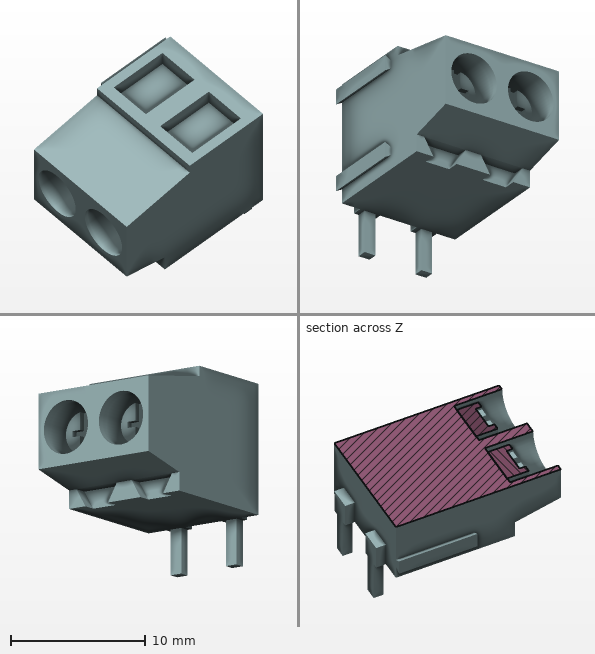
import cadquery as cq


POLE_COUNT = 2
POLE_PITCH = 5.1
HOUSING_WIDTH = POLE_COUNT * POLE_PITCH
HOUSING_HEIGHT = 10.02
OVERALL_DEPTH = 14.6
PIN_THICKNESS = 0.8
HOUSING_DEPTH = OVERALL_DEPTH - PIN_THICKNESS

NOSE_BOTTOM = 2.3
NOSE_TOP = HOUSING_HEIGHT - 1.93
FOOT_SETBACK = 3.85
FOOT_HEIGHT = 1.42
ROOF_SETBACK = 6.38
ROOF_STEP = 0.8

BORE_DIAMETER = 4.09
BORE_DEPTH = 4.0
BORE_HEIGHT = (NOSE_BOTTOM + NOSE_TOP) / 2

POCKET_WIDTH = 3.52
POCKET_LENGTH = 4.92
POCKET_DEPTH = 1.27
POCKET_TO_BACK = 1.52

RECESS_TOP_WIDTH = 3.72
RECESS_BOTTOM_WIDTH = 2.09
RECESS_DEPTH = 1.0

RAIL_PROJECTION = 0.53
RAIL_OUTER_HEIGHT = 1.27
RAIL_ROOT_HEIGHT = 0.65
RAIL_LENGTH = 6.54
LOWER_RAIL_HEIGHT = 1.5
RAIL_SPACING = 7.31

SCREW_DIAMETER = 3.24
SCREW_SETBACK = 2.2
SCREW_LENGTH = BORE_DEPTH - SCREW_SETBACK
SLOT_DEPTH = 0.5
LONG_SLOT_WIDTH = 0.61
SHORT_SLOT_WIDTH = 0.47
SHORT_SLOT_LENGTH = 2.07

PIN_HEAD_WIDTH = 1.8
PIN_HEAD_HEIGHT = 2.0
PIN_LEG_WIDTH = 0.98
PIN_LEG_LENGTH = 3.49

POLE_POSITIONS = [(i - (POLE_COUNT - 1) / 2) * POLE_PITCH for i in range(POLE_COUNT)]


def block(x_size, y_size, z_size, x_centre, y_front, z_bottom):
    """Box centred across X, reaching back and up from its front lower edge."""
    return (
        cq.Workplane("XY", origin=(x_centre, y_front, z_bottom))
        .box(x_size, y_size, z_size, centered=(True, False, False))
    )


def rod(diameter, length, x_centre, y_front):
    """Cylinder on a bore axis, reaching back from y_front."""
    return (
        cq.Workplane("XZ", origin=(x_centre, y_front, BORE_HEIGHT))
        .circle(diameter / 2)
        .extrude(-length)
    )


def housing_shell():
    profile = [
        (0, NOSE_BOTTOM),
        (FOOT_SETBACK, FOOT_HEIGHT),
        (FOOT_SETBACK, 0),
        (HOUSING_DEPTH, 0),
        (HOUSING_DEPTH, HOUSING_HEIGHT),
        (ROOF_SETBACK, HOUSING_HEIGHT),
        (ROOF_SETBACK, HOUSING_HEIGHT - ROOF_STEP),
        (0, NOSE_TOP),
    ]
    return cq.Workplane("YZ").polyline(profile).close().extrude(HOUSING_WIDTH / 2, both=True)


def dovetail_rail(z_centre):
    root_x = -HOUSING_WIDTH / 2
    outer_x = root_x - RAIL_PROJECTION
    profile = [
        (root_x, -RAIL_ROOT_HEIGHT / 2),
        (root_x, RAIL_ROOT_HEIGHT / 2),
        (outer_x, RAIL_OUTER_HEIGHT / 2),
        (outer_x, -RAIL_OUTER_HEIGHT / 2),
    ]
    return (
        cq.Workplane("XZ", origin=(0, HOUSING_DEPTH, z_centre))
        .polyline(profile)
        .close()
        .extrude(RAIL_LENGTH)
    )


def roof_pocket(x_centre):
    y_front = HOUSING_DEPTH - POCKET_TO_BACK - POCKET_LENGTH
    z_floor = HOUSING_HEIGHT - POCKET_DEPTH
    return block(POCKET_WIDTH, POCKET_LENGTH, POCKET_DEPTH, x_centre, y_front, z_floor)


def foot_recess(x_centre):
    profile = [
        (-RECESS_BOTTOM_WIDTH / 2, 0),
        (RECESS_BOTTOM_WIDTH / 2, 0),
        (RECESS_TOP_WIDTH / 2, FOOT_HEIGHT),
        (-RECESS_TOP_WIDTH / 2, FOOT_HEIGHT),
    ]
    return (
        cq.Workplane("XZ", origin=(x_centre, FOOT_SETBACK, 0))
        .polyline(profile)
        .close()
        .extrude(-RECESS_DEPTH)
    )


def make_housing():
    body = housing_shell()
    for z_centre in (LOWER_RAIL_HEIGHT, LOWER_RAIL_HEIGHT + RAIL_SPACING):
        body = body.union(dovetail_rail(z_centre))
    for x in POLE_POSITIONS:
        body = body.cut(rod(BORE_DIAMETER, BORE_DEPTH, x, 0))
        body = body.cut(roof_pocket(x))
        body = body.cut(foot_recess(x))
    return body


def make_screw(x_centre):
    """Screw standing on the floor of its bore, with a cross slot in its front face."""
    screw_bottom = BORE_HEIGHT - SCREW_DIAMETER / 2
    long_slot = block(
        LONG_SLOT_WIDTH, SLOT_DEPTH, SCREW_DIAMETER,
        x_centre, SCREW_SETBACK, screw_bottom,
    )
    short_slot = rod(SHORT_SLOT_LENGTH, SLOT_DEPTH, x_centre, SCREW_SETBACK).intersect(
        block(
            SHORT_SLOT_LENGTH, SLOT_DEPTH, SHORT_SLOT_WIDTH,
            x_centre, SCREW_SETBACK, BORE_HEIGHT - SHORT_SLOT_WIDTH / 2,
        )
    )
    return rod(SCREW_DIAMETER, SCREW_LENGTH, x_centre, SCREW_SETBACK).cut(long_slot).cut(short_slot)


def make_pin(x_centre):
    """Flat pin against the back of the housing: wide head, narrow leg below."""
    head = block(PIN_HEAD_WIDTH, PIN_THICKNESS, PIN_HEAD_HEIGHT, x_centre, HOUSING_DEPTH, 0)
    leg = block(PIN_LEG_WIDTH, PIN_THICKNESS, PIN_LEG_LENGTH, x_centre, HOUSING_DEPTH, -PIN_LEG_LENGTH)
    return head.union(leg)


housing = make_housing()
screws = [make_screw(x) for x in POLE_POSITIONS]
pins = [make_pin(x) for x in POLE_POSITIONS]

result = cq.Compound.makeCompound([
    housing.val(),
    *[screw.val() for screw in screws],
    *[pin.val() for pin in pins],
])